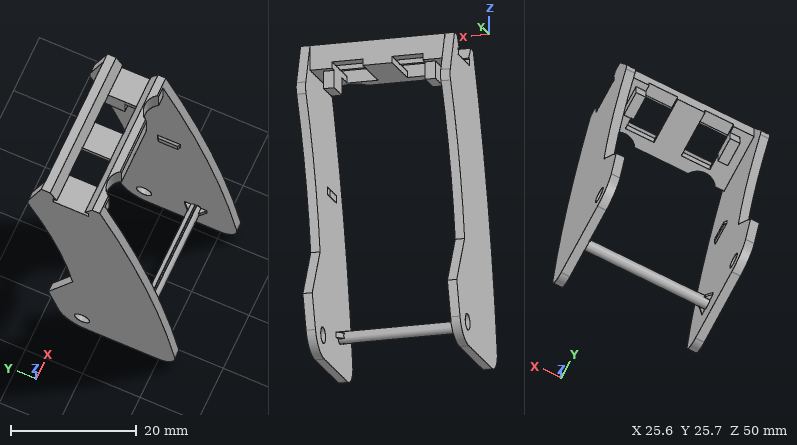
import cadquery as cq

width = 25.6
height = 49.95
plate_thickness = 1.6
inner_half = width / 2 - plate_thickness

front_top = (0.25, height)
front_middle = (-7.7, 27.05)
front_bottom = (-13.3, 0.0)
heel_bottom = (6.4, 0.0)
heel_tip = (9.25, 9.1)
waist = (5.0, 17.2)
back_middle = (8.2, 30.3)
shoulder = (13.05, 42.2)
back_top = (10.45, height)
toe_radius = 3.0
heel_radius = 5.0
shoulder_radius = 2.5

pivot_y = 3.35
pivot_z = 3.8
pivot_diameter = 2.6

rail_floor_z = 46.85
rail_lip_z = 47.9
rail_front_y = 2.25
rail_back_y = 8.4
lip_front_y = 2.85
lip_back_y = 7.75
mouth_front_y = 1.6
mouth_back_y = 8.9

bar_front_y = 0.05
bar_back_y = back_top[0]
bar_bottom_z = 45.8
scallop_x = 7.2
scallop_y = -1.4
scallop_radius = 2.8
window_inner_x = 2.45
window_outer_x = 7.55
leg_thickness = 1.75
leg_front_y = 5.05
leg_back_y = 9.3
leg_bottom_z = 42.9

rod_y = -5.7
rod_z = 6.05
rod_diameter = 2.0
slit_width = 0.3
slit_depth = 0.5
gusset_reach = 1.95
gusset_thickness = 0.9

ledge_front_y = -3.0
ledge_back_y = 1.0
ledge_bottom_z = 27.95
ledge_height = 1.2
ledge_drop = 0.35
ledge_depth = 0.35


def box(x_range, y_range, z_range):
    """Block between the given pairs of limits."""
    (x0, x1), (y0, y1), (z0, z1) = x_range, y_range, z_range
    return cq.Workplane("XY").box(x1 - x0, y1 - y0, z1 - z0, centered=False).translate((x0, y0, z0))


def both_sides(body):
    """The body together with its mirror image across X = 0."""
    return body.union(body.mirror("YZ"))


def make_envelope():
    """Side outline extruded over the full width, with the corners rounded."""
    body = (
        cq.Workplane("YZ")
        .moveTo(*front_top)
        .threePointArc(front_middle, front_bottom)
        .lineTo(*heel_bottom)
        .lineTo(*heel_tip)
        .lineTo(*waist)
        .threePointArc(back_middle, shoulder)
        .lineTo(*back_top)
        .close()
        .extrude(width / 2, both=True)
    )
    rounded_corners = [
        (front_bottom, toe_radius),
        (heel_bottom, heel_radius),
        (shoulder, shoulder_radius),
    ]
    for (y, z), radius in rounded_corners:
        corner = cq.selectors.NearestToPointSelector((0, y, z))
        body = body.edges("|X").edges(corner).fillet(radius)
    return body


def make_rail_channel():
    """Channel with a flared mouth and overhanging lips."""
    return (
        cq.Workplane("YZ")
        .polyline([
            (rail_front_y, rail_floor_z),
            (rail_back_y, rail_floor_z),
            (rail_back_y, rail_lip_z),
            (lip_back_y, rail_lip_z),
            (mouth_back_y, height),
            (mouth_front_y, height),
            (lip_front_y, rail_lip_z),
            (rail_front_y, rail_lip_z),
        ])
        .close()
        .extrude(width / 2, both=True)
    )


def make_frame():
    """Two side plates and the top cross bar, cut from one envelope."""
    inner = (-inner_half, inner_half)
    gap = box(inner, (-width, width), (0, height))
    bar_zone = box(inner, (bar_front_y, bar_back_y), (bar_bottom_z, height))
    frame = make_envelope().cut(gap.cut(bar_zone)).cut(make_rail_channel())

    scallop = (
        cq.Workplane("XY", origin=(scallop_x, scallop_y, bar_bottom_z))
        .circle(scallop_radius)
        .extrude(height - bar_bottom_z)
    )
    window = box(
        (window_inner_x, window_outer_x), (rail_front_y, bar_back_y), (bar_bottom_z, rail_floor_z)
    )
    pivot_hole = (
        cq.Workplane("YZ", origin=(0, pivot_y, pivot_z))
        .circle(pivot_diameter / 2)
        .extrude(width / 2, both=True)
    )
    return frame.cut(both_sides(scallop)).cut(both_sides(window)).cut(pivot_hole)


def make_legs():
    """Rectangular legs hanging below the cross bar, beside the windows."""
    leg = box(
        (window_outer_x, window_outer_x + leg_thickness),
        (leg_front_y, leg_back_y),
        (leg_bottom_z, bar_bottom_z),
    )
    return both_sides(leg)


def make_tie_rod():
    """Slit rod with a flat triangular gusset at each end."""
    rod = (
        cq.Workplane("YZ", origin=(0, rod_y, rod_z))
        .circle(rod_diameter / 2)
        .extrude(inner_half, both=True)
    )
    gusset = (
        cq.Workplane("XY", origin=(0, rod_y, rod_z))
        .polyline([
            (inner_half, -gusset_reach),
            (inner_half, gusset_reach),
            (inner_half - gusset_reach, 0),
        ])
        .close()
        .extrude(gusset_thickness / 2, both=True)
    )
    rod_top = rod_z + rod_diameter / 2
    slit = box(
        (-inner_half, inner_half),
        (rod_y - slit_width / 2, rod_y + slit_width / 2),
        (rod_top - slit_depth, rod_top),
    )
    return rod.union(both_sides(gusset)).cut(slit)


def make_ledges():
    """Shallow ledges on the plates' inner faces, tilted down towards the gap, with sloped ends."""
    tip_x = inner_half - ledge_depth
    ledge_top_z = ledge_bottom_z + ledge_height
    ledge = (
        cq.Workplane("XZ", origin=(0, ledge_back_y, 0))
        .polyline([
            (inner_half, ledge_bottom_z),
            (inner_half, ledge_top_z),
            (tip_x, ledge_top_z - ledge_drop),
            (tip_x, ledge_bottom_z - ledge_drop),
        ])
        .close()
        .extrude(ledge_back_y - ledge_front_y)
    )
    plan = (
        cq.Workplane("XY", origin=(0, 0, ledge_bottom_z - ledge_drop))
        .polyline([
            (inner_half, ledge_front_y),
            (inner_half, ledge_back_y),
            (tip_x, ledge_back_y - ledge_depth),
            (tip_x, ledge_front_y + ledge_depth),
        ])
        .close()
        .extrude(ledge_height + ledge_drop)
    )
    return both_sides(ledge.intersect(plan))


result = make_frame().union(make_legs()).union(make_tie_rod()).union(make_ledges())